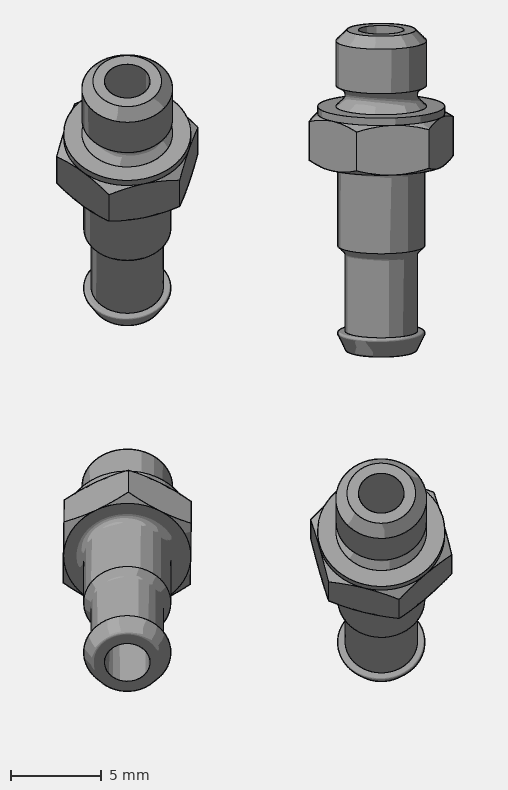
import cadquery as cq
import math

total_length = 18.0
bore_diameter = 2.5
across_flats = 7.0
thread_radius = 5.0 / 2
neck_radius = 4.0 / 2
shank_radius = 4.8 / 2

barb_top = 1.12
shoulder_bottom = 5.4
shoulder_top = 5.9
hex_bottom = 10.51
hex_top = 13.3
collar_top = 13.72

thread_chamfer = 0.61
groove_radius = 0.41
groove_lower_angle = math.radians(47)
groove_upper_angle = math.radians(60)
shank_fillet = 0.38
shoulder_angle = math.radians(45)
hex_chamfer_angle = math.radians(30)
barb_edge_round = 0.13
barb_tip_round = 0.18
barb_tip_radius = 1.95
barb_rim_radius = 2.48

flat_radius = across_flats / 2
corner_radius = flat_radius / math.cos(math.pi / 6)


def revolve_profile(profile):
    """Turn a closed radius-height profile around the Z axis."""
    return profile.close().revolve(360, (0, 0, 0), (0, 1, 0))


def arc_point(center, radius, angle):
    """Point on an arc facing the axis; angle is measured up from the inward radial direction."""
    return center[0] - radius * math.cos(angle), center[1] + radius * math.sin(angle)


def threaded_end():
    """Collar, relief groove and chamfered thread cylinder."""
    lower_inset = groove_radius * (1 - math.cos(groove_lower_angle))
    lower_run = thread_radius - neck_radius - lower_inset
    lower_end = collar_top + lower_run / math.tan(groove_lower_angle)
    center = (neck_radius + groove_radius, lower_end + groove_radius * math.sin(groove_lower_angle))
    arc_start = arc_point(center, groove_radius, -groove_lower_angle)
    arc_middle = arc_point(center, groove_radius, 0)
    arc_end = arc_point(center, groove_radius, groove_upper_angle)
    thread_bottom = arc_end[1] + (thread_radius - arc_end[0]) / math.tan(groove_upper_angle)
    profile = (
        cq.Workplane("XZ")
        .moveTo(0, hex_top)
        .lineTo(flat_radius, hex_top)
        .lineTo(flat_radius, collar_top)
        .lineTo(thread_radius, collar_top)
        .lineTo(*arc_start)
        .threePointArc(arc_middle, arc_end)
        .lineTo(thread_radius, thread_bottom)
        .lineTo(thread_radius, total_length - thread_chamfer)
        .lineTo(thread_radius - thread_chamfer, total_length)
        .lineTo(0, total_length)
    )
    return revolve_profile(profile)


def hexagon():
    """Hexagon with corners on the Y axis and both ends turned to a cone."""
    prism = (
        cq.Workplane("XY")
        .workplane(offset=hex_bottom)
        .polygon(6, 2 * corner_radius)
        .extrude(hex_top - hex_bottom)
        .rotate((0, 0, 0), (0, 0, 1), 30)
    )
    chamfer_height = (corner_radius - flat_radius) * math.tan(hex_chamfer_angle)
    envelope = (
        cq.Workplane("XZ")
        .moveTo(0, hex_bottom)
        .lineTo(flat_radius, hex_bottom)
        .lineTo(corner_radius, hex_bottom + chamfer_height)
        .lineTo(corner_radius, hex_top - chamfer_height)
        .lineTo(flat_radius, hex_top)
        .lineTo(0, hex_top)
    )
    return prism.intersect(revolve_profile(envelope))


def shank():
    """Upper shank, filleted into the hexagon and stepped down to the hose neck."""
    shoulder_height = shoulder_top - shoulder_bottom
    step = shank_radius - neck_radius
    blend_radius = (shoulder_height - step / math.tan(shoulder_angle)) / math.tan(shoulder_angle / 2)
    center = (neck_radius + blend_radius, shoulder_bottom)
    fillet_center = (shank_radius + shank_fillet, hex_bottom - shank_fillet)
    profile = (
        cq.Workplane("XZ")
        .moveTo(0, barb_top)
        .lineTo(neck_radius, barb_top)
        .lineTo(neck_radius, shoulder_bottom)
        .threePointArc(
            arc_point(center, blend_radius, shoulder_angle / 2),
            arc_point(center, blend_radius, shoulder_angle),
        )
        .lineTo(shank_radius, shoulder_top)
        .lineTo(shank_radius, fillet_center[1])
        .threePointArc(
            arc_point(fillet_center, shank_fillet, math.pi / 4),
            (fillet_center[0], hex_bottom),
        )
        .lineTo(0, hex_bottom)
    )
    return revolve_profile(profile)


def barb():
    """Conical hose barb with a rounded rim and a rounded tip."""
    cone = (
        cq.Workplane("XZ")
        .lineTo(barb_tip_radius, 0)
        .lineTo(barb_rim_radius, barb_top)
        .lineTo(0, barb_top)
    )
    return (
        revolve_profile(cone)
        .faces(">Z").edges().fillet(barb_edge_round)
        .faces("<Z").edges().fillet(barb_tip_round)
    )


bore = cq.Workplane("XY").circle(bore_diameter / 2).extrude(total_length)
result = barb().union(shank()).union(hexagon()).union(threaded_end()).cut(bore)